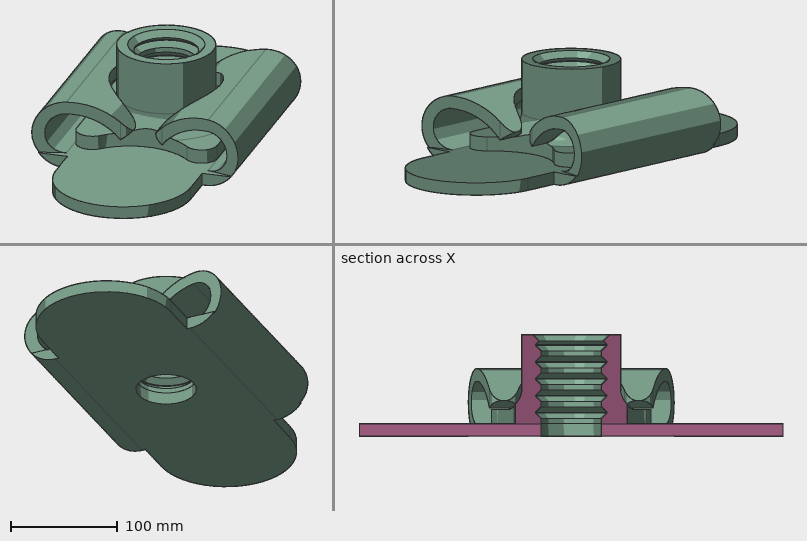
import cadquery as cq
import math

plate_length = 397.5
sheet = 12.0
tongue_width = 132.7
wing_length = 193.0

width = 203.0
curl_radius = 31.8
lip_radius = 72.7
lip_angle = math.radians(54)
curl_x = width / 2 - curl_radius
curl_top = 2 * curl_radius
lip_center_z = curl_top - lip_radius

taper_slope = 0.245
tip_fillet = 12.7
collar_clearance_radius = 53.5

total_height = 95.5
collar_radius = 46.5
flange_top = 25.5
flare_radius = 19.0
flange_width = 138.5
waist_half = 52.5
waist_radius = 60.5
lobe_radius = 15.5

bore_radius = 28.2
mouth_radius = 36.0
groove_radius = 33.5
groove_flank = groove_radius - bore_radius
groove_land = 0.8
groove_pitch = 16.0
groove_count = 5
first_ridge_depth = 15.0


def lip_point(radius, angle):
    """Point on the lip's arc, with the angle taken from the top of the curl."""
    return curl_x - radius * math.sin(angle), lip_center_z + radius * math.cos(angle)


def curl_section():
    """Constant thickness strip: flat foot, half-round curl, then a wide arc to the lip."""
    inner_curl = curl_radius - sheet
    inner_lip = lip_radius - sheet
    return (
        cq.Workplane("XZ")
        .moveTo(0, 0)
        .lineTo(curl_x, 0)
        .threePointArc((curl_x + curl_radius, curl_radius), (curl_x, curl_top))
        .threePointArc(lip_point(lip_radius, lip_angle / 2), lip_point(lip_radius, lip_angle))
        .lineTo(*lip_point(inner_lip, lip_angle))
        .threePointArc(lip_point(inner_lip, lip_angle / 2), (curl_x, curl_top - sheet))
        .threePointArc((curl_x + inner_curl, curl_radius), (curl_x, sheet))
        .lineTo(0, sheet)
        .close()
        .extrude(wing_length / 2, both=True)
    )


def wing_envelope():
    """Tapered prism with rounded tip corners and a round collar cutout."""
    outer_x = width / 2
    outer_y = wing_length / 2
    tip_x = lip_point(lip_radius, lip_angle)[0]
    tip_y = outer_y - taper_slope * (outer_x - tip_x)
    outline = [(outer_x, -outer_y), (outer_x, outer_y), (tip_x, tip_y), (tip_x, -tip_y)]
    prism = cq.Workplane("XY").workplane(offset=sheet).polyline(outline).close().extrude(curl_top)
    clearance = cq.Workplane("XY").circle(collar_clearance_radius).extrude(total_height)
    return prism.cut(clearance).edges("|Z").edges("<X").fillet(tip_fillet)


def make_wing():
    """Right-hand wing: full-width foot below, trimmed curl above."""
    section = curl_section()
    foot = section.intersect(cq.Workplane("XY").box(width, wing_length, 2 * sheet))
    return foot.union(section.intersect(wing_envelope()))


def make_plate():
    tongue = cq.Workplane("XY").slot2D(plate_length, tongue_width, 90).extrude(sheet)
    wing = make_wing()
    hole = cq.Workplane("XY").circle(bore_radius).extrude(sheet)
    return tongue.union(wing).union(wing.mirror("YZ")).cut(hole)


def make_flange_blank():
    """Prism with flat sides, a hollow waist front and back, and four rounded lobes tangent to both."""
    side_x = flange_width / 2
    waist_y = waist_half + waist_radius
    lobe_x = side_x - lobe_radius
    lobe_y = waist_y - math.sqrt((waist_radius + lobe_radius) ** 2 - lobe_x**2)
    share = waist_radius / (waist_radius + lobe_radius)
    join_x = share * lobe_x
    join_y = waist_y + share * (lobe_y - waist_y)
    to_join = math.atan2(join_y - lobe_y, join_x - lobe_x)
    lobe_mid_x = lobe_x + lobe_radius * math.cos(to_join / 2)
    lobe_mid_y = lobe_y + lobe_radius * math.sin(to_join / 2)
    return (
        cq.Workplane("XY")
        .workplane(offset=sheet)
        .moveTo(side_x, -lobe_y)
        .lineTo(side_x, lobe_y)
        .threePointArc((lobe_mid_x, lobe_mid_y), (join_x, join_y))
        .threePointArc((0, waist_half), (-join_x, join_y))
        .threePointArc((-lobe_mid_x, lobe_mid_y), (-side_x, lobe_y))
        .lineTo(-side_x, -lobe_y)
        .threePointArc((-lobe_mid_x, -lobe_mid_y), (-join_x, -join_y))
        .threePointArc((0, -waist_half), (join_x, -join_y))
        .threePointArc((lobe_mid_x, -lobe_mid_y), (side_x, -lobe_y))
        .close()
        .extrude(total_height - sheet)
    )


def make_nut_turning():
    """Solid of revolution: flange disc, concave flare and collar."""
    flare_outer = collar_radius + flare_radius
    flare_top = flange_top + flare_radius
    flare_mid = flare_radius * (1 - math.sqrt(0.5))
    flange_blank_radius = flange_width
    return (
        cq.Workplane("XZ")
        .moveTo(0, sheet)
        .lineTo(flange_blank_radius, sheet)
        .lineTo(flange_blank_radius, flange_top)
        .lineTo(flare_outer, flange_top)
        .threePointArc((collar_radius + flare_mid, flange_top + flare_mid), (collar_radius, flare_top))
        .lineTo(collar_radius, total_height)
        .lineTo(0, total_height)
        .close()
        .revolve(360, (0, 0, 0), (0, 1, 0))
    )


def revolve_outline(points):
    """Revolve a closed outline of (radius, z) points about the Z axis."""
    return cq.Workplane("XZ").polyline(points).close().revolve(360, (0, 0, 0), (0, 1, 0))


def make_groove(bottom):
    """Trapezoidal ring groove with 45 degree flanks; bottom is the z of its lower edge."""
    land_bottom = bottom + groove_flank
    land_top = land_bottom + groove_land
    top = land_top + groove_flank
    return revolve_outline(
        [
            (0, bottom),
            (bore_radius, bottom),
            (groove_radius, land_bottom),
            (groove_radius, land_top),
            (bore_radius, top),
            (0, top),
        ]
    )


def make_bore():
    """Through bore with a 45 degree bevelled mouth and evenly spaced thread grooves."""
    mouth_bottom = total_height - (mouth_radius - bore_radius)
    bore = revolve_outline(
        [
            (0, sheet),
            (bore_radius, sheet),
            (bore_radius, mouth_bottom),
            (mouth_radius, total_height),
            (0, total_height),
        ]
    )
    for index in range(groove_count):
        bore = bore.union(make_groove(total_height - first_ridge_depth - index * groove_pitch))
    return bore


def make_nut():
    return make_nut_turning().intersect(make_flange_blank()).cut(make_bore())


nut = make_nut()
plate = make_plate().cut(nut)
result = cq.Compound.makeCompound([plate.val(), nut.val()])